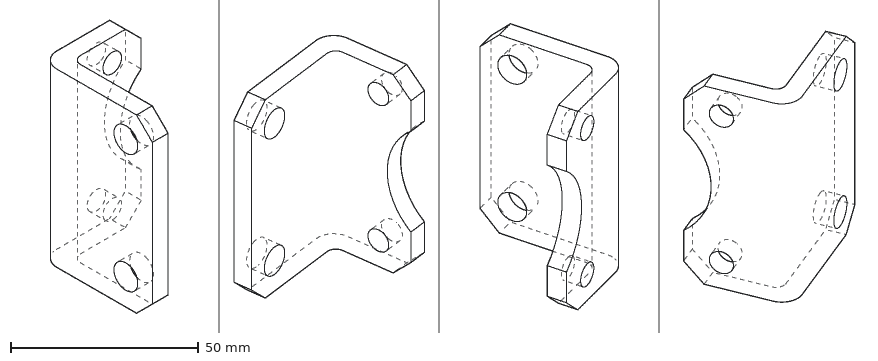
import cadquery as cq

height = 65.0
front_length = 42.0
side_length = 32.0
thickness = 6.0
outer_bend_radius = 6.0
inner_bend_radius = 3.0
corner_chamfer = 6.0

front_hole_diameter = 9.0
front_hole_x = 32.0
front_hole_spacing = 45.0

side_hole_diameter = 7.0
side_hole_y = 21.0
side_hole_spacing = 48.0

notch_radius = 21.0
notch_depth = 8.0


def bent_plate():
    """L-shaped plate with a rounded bend, standing along Z."""
    plate = (
        cq.Workplane("XY", origin=(0, 0, -height / 2))
        .polyline([
            (0, 0),
            (front_length, 0),
            (front_length, thickness),
            (thickness, thickness),
            (thickness, side_length),
            (0, side_length),
        ])
        .close()
        .extrude(height)
    )
    plate = plate.edges(cq.selectors.NearestToPointSelector((0, 0, 0))).fillet(outer_bend_radius)
    inner_corner = cq.selectors.NearestToPointSelector((thickness, thickness, 0))
    return plate.edges(inner_corner).fillet(inner_bend_radius)


def chamfer_corners(plate):
    """Bevel the top and bottom corners at the free end of each flange."""
    plate = plate.faces(">X").edges("|Y").chamfer(corner_chamfer)
    return plate.faces(">Y").edges("|X").chamfer(corner_chamfer)


def front_holes():
    """Pair of drills through the flange along X."""
    half_spacing = front_hole_spacing / 2
    return (
        cq.Workplane("XZ")
        .pushPoints([(front_hole_x, -half_spacing), (front_hole_x, half_spacing)])
        .circle(front_hole_diameter / 2)
        .extrude(-thickness)
    )


def side_holes():
    """Pair of drills through the flange along Y."""
    half_spacing = side_hole_spacing / 2
    return (
        cq.Workplane("YZ")
        .pushPoints([(side_hole_y, -half_spacing), (side_hole_y, half_spacing)])
        .circle(side_hole_diameter / 2)
        .extrude(thickness)
    )


def edge_notch():
    """Cylinder that scoops an arc from the free edge of the flange along Y."""
    center_y = side_length - notch_depth + notch_radius
    return cq.Workplane("YZ").center(center_y, 0).circle(notch_radius).extrude(thickness)


result = chamfer_corners(bent_plate())
result = result.cut(front_holes()).cut(side_holes()).cut(edge_notch())